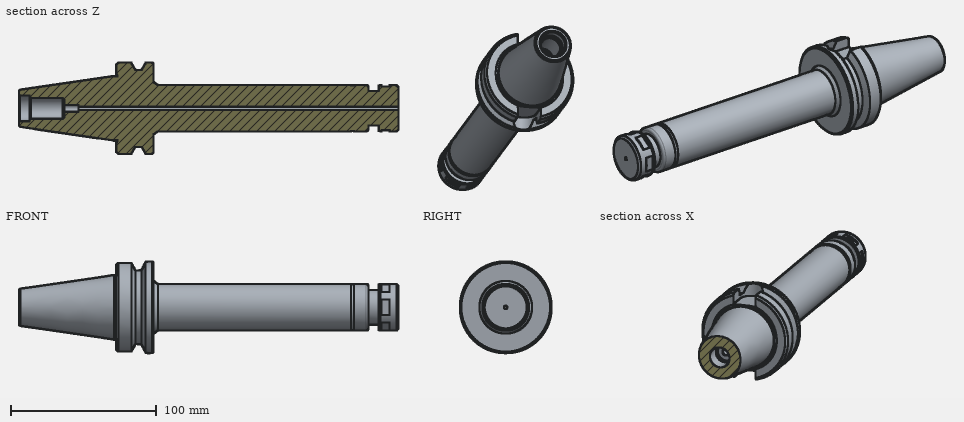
import cadquery as cq
import math

TOTAL_LENGTH = 260.5

TAPER_RATIO = 7 / 24
GAUGE_DIAMETER = 44.5
TAPER_LENGTH = 65.4
TAPER_CHAMFER = 1.0

RELIEF_DIAMETER = 43.7
RELIEF_START = 66.0
RELIEF_END = 67.7
RECESS_DIAMETER = 47.7

FLANGE_DIAMETER = 63.0
FLANGE_START = 66.7
FLANGE_END = 92.5
FLANGE_FRONT_CHAMFER = 1.5
FLANGE_BACK_CHAMFER = 1.0
GROOVE_CENTER = 82.0
GROOVE_FLOOR_DIAMETER = 53.0
GROOVE_FLOOR_WIDTH = 4.2
GROOVE_HALF_ANGLE = 30

SLOT_WIDTH = 16.1
SLOT_FLOOR_HEIGHT = 22.7
SLOT_END = 88.5

SHANK_DIAMETER = 32.0
SHANK_END = 239.8
SHANK_END_FILLET = 1.8
ROOT_CONE_LENGTH = 2.9
ROOT_CONE_HEIGHT = 2.0
MARK_GROOVE_START = 227.5
MARK_GROOVE_WIDTH = 2.3
MARK_GROOVE_DEPTH = 0.13

NECK_DIAMETER = 24.0
NUT_DIAMETER = 32.0
NUT_START = 246.5
NUT_BACK_CHAMFER_LENGTH = 1.3
NUT_BACK_CHAMFER_DEPTH = 0.5
NUT_FRONT_CHAMFER = 1.5
FLAT_COUNT = 6
FLAT_DISTANCE = 15.0
FLAT_START = 248.7
FLAT_LENGTH = 5.5

MOUTH_DIAMETER = 19.0
COUNTERBORE_DIAMETER = 17.5
COUNTERBORE_DEPTH = 7.3
THREAD_MOUTH_DIAMETER = 16.0
THREAD_DIAMETER = 14.0
THREAD_END = 30.0
BORE_FLOOR_DIAMETER = 12.0
PILOT_MOUTH_DIAMETER = 5.0
PILOT_DIAMETER = 4.5
PILOT_DEPTH = 10.0
COOLANT_DIAMETER = 2.0


def revolve_about_x(profile):
    return profile.revolve(360, (0, 0, 0), (1, 0, 0))


def make_body():
    gauge_r = GAUGE_DIAMETER / 2
    small_r = gauge_r - TAPER_LENGTH * TAPER_RATIO / 2
    chamfer_r = small_r + TAPER_CHAMFER * TAPER_RATIO / 2
    relief_r = RELIEF_DIAMETER / 2
    flange_r = FLANGE_DIAMETER / 2
    groove_r = GROOVE_FLOOR_DIAMETER / 2
    half_floor = GROOVE_FLOOR_WIDTH / 2
    half_mouth = half_floor + (flange_r - groove_r) * math.tan(math.radians(GROOVE_HALF_ANGLE))
    shank_r = SHANK_DIAMETER / 2
    neck_r = NECK_DIAMETER / 2
    nut_r = NUT_DIAMETER / 2
    taper_to_shank = [
        (0, 0),
        (0, chamfer_r - TAPER_CHAMFER),
        (TAPER_CHAMFER, chamfer_r),
        (TAPER_LENGTH, gauge_r),
        (RELIEF_START, relief_r),
        (RELIEF_END, relief_r),
        (FLANGE_START, RECESS_DIAMETER / 2),
        (FLANGE_START, flange_r - FLANGE_FRONT_CHAMFER),
        (FLANGE_START + FLANGE_FRONT_CHAMFER, flange_r),
        (GROOVE_CENTER - half_mouth, flange_r),
        (GROOVE_CENTER - half_floor, groove_r),
        (GROOVE_CENTER + half_floor, groove_r),
        (GROOVE_CENTER + half_mouth, flange_r),
        (FLANGE_END - FLANGE_BACK_CHAMFER, flange_r),
        (FLANGE_END, flange_r - FLANGE_BACK_CHAMFER),
        (FLANGE_END, shank_r + ROOT_CONE_HEIGHT),
        (FLANGE_END + ROOT_CONE_LENGTH, shank_r),
        (MARK_GROOVE_START, shank_r),
        (MARK_GROOVE_START, shank_r - MARK_GROOVE_DEPTH),
        (MARK_GROOVE_START + MARK_GROOVE_WIDTH, shank_r - MARK_GROOVE_DEPTH),
        (MARK_GROOVE_START + MARK_GROOVE_WIDTH, shank_r),
        (SHANK_END - SHANK_END_FILLET, shank_r),
    ]
    neck_and_nut = [
        (SHANK_END, neck_r),
        (NUT_START, neck_r),
        (NUT_START, nut_r - NUT_BACK_CHAMFER_DEPTH),
        (NUT_START + NUT_BACK_CHAMFER_LENGTH, nut_r),
        (TOTAL_LENGTH - NUT_FRONT_CHAMFER, nut_r),
        (TOTAL_LENGTH, nut_r - NUT_FRONT_CHAMFER),
        (TOTAL_LENGTH, 0),
    ]
    profile = (
        cq.Workplane("XY")
        .polyline(taper_to_shank)
        .radiusArc((SHANK_END, shank_r - SHANK_END_FILLET), SHANK_END_FILLET)
        .polyline(neck_and_nut, includeCurrent=True)
        .close()
    )
    return revolve_about_x(profile)


def make_bore():
    mouth_r = MOUTH_DIAMETER / 2
    counterbore_r = COUNTERBORE_DIAMETER / 2
    thread_mouth_r = THREAD_MOUTH_DIAMETER / 2
    thread_r = THREAD_DIAMETER / 2
    floor_r = BORE_FLOOR_DIAMETER / 2
    pilot_mouth_r = PILOT_MOUTH_DIAMETER / 2
    pilot_r = PILOT_DIAMETER / 2
    coolant_r = COOLANT_DIAMETER / 2
    thread_start = COUNTERBORE_DEPTH + thread_mouth_r - thread_r
    floor_x = THREAD_END + thread_r - floor_r
    points = [
        (0, 0),
        (0, mouth_r),
        (mouth_r - counterbore_r, counterbore_r),
        (COUNTERBORE_DEPTH, counterbore_r),
        (COUNTERBORE_DEPTH, thread_mouth_r),
        (thread_start, thread_r),
        (THREAD_END, thread_r),
        (floor_x, floor_r),
        (floor_x, pilot_mouth_r),
        (floor_x + pilot_mouth_r - pilot_r, pilot_r),
        (floor_x + PILOT_DEPTH, pilot_r),
        (floor_x + PILOT_DEPTH, coolant_r),
        (TOTAL_LENGTH, coolant_r),
        (TOTAL_LENGTH, 0),
    ]
    return revolve_about_x(cq.Workplane("XY").polyline(points).close())


def make_drive_slots():
    slot_height = FLANGE_DIAMETER / 2 - SLOT_FLOOR_HEIGHT
    round_center = SLOT_END - SLOT_WIDTH / 2
    straight = round_center - FLANGE_START
    slot = (
        cq.Workplane("XY", origin=(FLANGE_START, 0, SLOT_FLOOR_HEIGHT))
        .moveTo(0, -SLOT_WIDTH / 2)
        .lineTo(straight, -SLOT_WIDTH / 2)
        .threePointArc((SLOT_END - FLANGE_START, 0), (straight, SLOT_WIDTH / 2))
        .lineTo(0, SLOT_WIDTH / 2)
        .close()
        .extrude(slot_height)
    )
    return slot.union(slot.rotate((0, 0, 0), (1, 0, 0), 180))


def make_wrench_flats():
    depth = NUT_DIAMETER / 2 - FLAT_DISTANCE
    flat = cq.Workplane("XY").box(FLAT_LENGTH, depth, NUT_DIAMETER / 2, centered=(False, False, True))
    flat = flat.translate((FLAT_START, FLAT_DISTANCE, 0))
    flats = flat
    for i in range(1, FLAT_COUNT):
        flats = flats.union(flat.rotate((0, 0, 0), (1, 0, 0), i * 360 / FLAT_COUNT))
    return flats


result = make_body().cut(make_bore()).cut(make_drive_slots()).cut(make_wrench_flats())